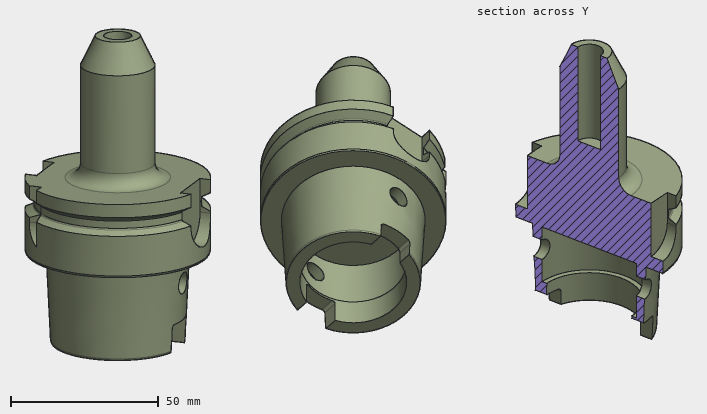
import cadquery as cq
import math

TOTAL_HEIGHT = 108.2
FLANGE_BOTTOM = 32.0
FLANGE_TOP = 58.0
NOSE_CONE_BOTTOM = 97.8

FLANGE_RADIUS = 31.5
BARREL_RADIUS = 12.7
NOSE_RADIUS = 7.7
NECK_FILLET = 5.2
SHANK_TOP_RADIUS = 24.3
SHANK_BOTTOM_RADIUS = 22.8
EDGE_CHAMFER_HEIGHT = 0.6
EDGE_CHAMFER_WIDTH = 0.2

GROOVE_RADIUS = 28.3
GROOVE_UPPER_EDGE = 53.3
GROOVE_UPPER_FLOOR = 51.5
GROOVE_LOWER_FLOOR = 48.3
GROOVE_LOWER_EDGE = 46.7
GROOVE_CORNER_FILLET = 0.5
CORNER_MARGIN = 0.1

TOOL_BORE_RADIUS = 4.8
TOOL_BORE_DEPTH = 36.8
SHANK_BORE_RADIUS = 18.1
SHANK_BORE_DEPTH = FLANGE_BOTTOM
RELIEF_RADIUS = 20.0
RELIEF_BOTTOM = 10.8

SLOT_FLOOR_X = 26.4
SLOT_BOTTOM = 37.1
LEFT_SLOT_WIDTH = 16.0
RIGHT_SLOT_WIDTH = 18.0
NOTCH_OFFSET = 20.0

CROSS_HOLE_RADIUS = 3.8
CROSS_HOLE_Z = 23.3
DRIVE_SLOT_WIDTH = 12.7
DRIVE_SLOT_CORNER = 1.1
LEFT_DRIVE_DEPTH = 6.3
RIGHT_DRIVE_DEPTH = 9.8


def turned_body():
    """Shank, grooved flange and barrel revolved about Z."""
    arc_offset = NECK_FILLET * (1 - math.sqrt(0.5))
    profile = (
        cq.Workplane("YZ")
        .moveTo(0, 0)
        .lineTo(SHANK_BOTTOM_RADIUS - EDGE_CHAMFER_WIDTH, 0)
        .lineTo(SHANK_BOTTOM_RADIUS, EDGE_CHAMFER_HEIGHT)
        .lineTo(SHANK_TOP_RADIUS, FLANGE_BOTTOM)
        .lineTo(FLANGE_RADIUS - EDGE_CHAMFER_WIDTH, FLANGE_BOTTOM)
        .lineTo(FLANGE_RADIUS, FLANGE_BOTTOM + EDGE_CHAMFER_HEIGHT)
        .lineTo(FLANGE_RADIUS, GROOVE_LOWER_EDGE)
        .lineTo(GROOVE_RADIUS, GROOVE_LOWER_FLOOR)
        .lineTo(GROOVE_RADIUS, GROOVE_UPPER_FLOOR)
        .lineTo(FLANGE_RADIUS, GROOVE_UPPER_EDGE)
        .lineTo(FLANGE_RADIUS, FLANGE_TOP)
        .lineTo(BARREL_RADIUS + NECK_FILLET, FLANGE_TOP)
        .threePointArc(
            (BARREL_RADIUS + arc_offset, FLANGE_TOP + arc_offset),
            (BARREL_RADIUS, FLANGE_TOP + NECK_FILLET),
        )
        .lineTo(BARREL_RADIUS, NOSE_CONE_BOTTOM)
        .lineTo(NOSE_RADIUS, TOTAL_HEIGHT)
        .lineTo(0, TOTAL_HEIGHT)
        .close()
    )
    body = profile.revolve(360, (0, 0), (0, 1))
    groove_floor_corners = cq.selectors.BoxSelector(
        (-GROOVE_RADIUS - CORNER_MARGIN, -GROOVE_RADIUS - CORNER_MARGIN, GROOVE_LOWER_FLOOR - CORNER_MARGIN),
        (GROOVE_RADIUS + CORNER_MARGIN, GROOVE_RADIUS + CORNER_MARGIN, GROOVE_UPPER_FLOOR + CORNER_MARGIN),
    )
    return body.edges("%CIRCLE").edges(groove_floor_corners).fillet(GROOVE_CORNER_FILLET)


def axial_bore(radius, bottom, depth):
    return cq.Workplane("XY").workplane(offset=bottom).circle(radius).extrude(depth)


def flange_slot(side, floor_x, center_y, width):
    """Cutter with a half-round bottom, open above and outward in X on the given side."""
    radius = width / 2
    arc_center = SLOT_BOTTOM + radius
    return (
        cq.Workplane("YZ", origin=(side * floor_x, 0, 0))
        .moveTo(center_y - radius, FLANGE_TOP)
        .lineTo(center_y - radius, arc_center)
        .threePointArc((center_y, SLOT_BOTTOM), (center_y + radius, arc_center))
        .lineTo(center_y + radius, FLANGE_TOP)
        .close()
        .extrude(side * FLANGE_RADIUS)
    )


def drive_slot(side, depth):
    """Cutter through one shank wall, open below, with two rounded inner corners."""
    return (
        cq.Workplane("XY")
        .box(FLANGE_RADIUS, DRIVE_SLOT_WIDTH, depth, centered=(True, True, False))
        .edges("|X and >Z")
        .fillet(DRIVE_SLOT_CORNER)
        .translate((side * FLANGE_RADIUS / 2, 0, 0))
    )


body = turned_body()

body = body.cut(axial_bore(TOOL_BORE_RADIUS, TOTAL_HEIGHT - TOOL_BORE_DEPTH, TOOL_BORE_DEPTH))
body = body.cut(axial_bore(SHANK_BORE_RADIUS, 0, SHANK_BORE_DEPTH))

body = body.cut(axial_bore(RELIEF_RADIUS, RELIEF_BOTTOM, SHANK_BORE_DEPTH - RELIEF_BOTTOM))

body = body.cut(flange_slot(-1, SLOT_FLOOR_X, 0, LEFT_SLOT_WIDTH))
body = body.cut(flange_slot(1, SLOT_FLOOR_X, 0, RIGHT_SLOT_WIDTH))

notch_center_y = -NOTCH_OFFSET - LEFT_SLOT_WIDTH / 2
body = body.cut(flange_slot(-1, NOTCH_OFFSET, notch_center_y, LEFT_SLOT_WIDTH))

cross_hole = (
    cq.Workplane("YZ")
    .center(0, CROSS_HOLE_Z)
    .circle(CROSS_HOLE_RADIUS)
    .extrude(FLANGE_RADIUS, both=True)
)
body = body.cut(cross_hole)

body = body.cut(drive_slot(-1, LEFT_DRIVE_DEPTH))
body = body.cut(drive_slot(1, RIGHT_DRIVE_DEPTH))

result = body